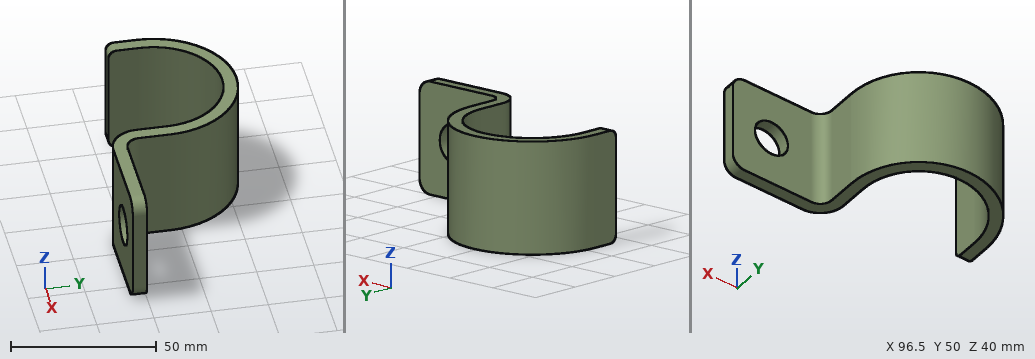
import cadquery as cq

length = 96.5
width = 40.0
thickness = 5.0
saddle_radius = 28.95
leg_length = 11.0
bend_inner_radius = 5.0
flange_corner_radius = 5.0
lip_corner_radius = 3.0
hole_diameter = 14.0
hole_edge_distance = 16.5

bore_radius = saddle_radius - thickness
bend_outer_radius = bend_inner_radius + thickness
bend_center_x = saddle_radius + bend_inner_radius
flange_end_x = length - saddle_radius
flange_back_y = -leg_length - bend_inner_radius
flange_front_y = flange_back_y - thickness
hole_x = flange_end_x - hole_edge_distance


def bend_arc(profile, radius, end):
    """Draw a quarter arc about the bend centre, through its midpoint, to the given end."""
    diagonal = radius * 0.5**0.5
    middle = (bend_center_x - diagonal, -leg_length - diagonal)
    return profile.threePointArc(middle, end)


def bent_strip():
    """Half ring, two legs, outward bend and flange, extruded across the strip width."""
    profile = (
        cq.Workplane("XY")
        .workplane(offset=-width / 2)
        .moveTo(-saddle_radius, -leg_length)
        .lineTo(-saddle_radius, 0)
        .threePointArc((0, saddle_radius), (saddle_radius, 0))
        .lineTo(saddle_radius, -leg_length)
    )
    profile = bend_arc(profile, bend_inner_radius, (bend_center_x, flange_back_y))
    profile = (
        profile.lineTo(flange_end_x, flange_back_y)
        .lineTo(flange_end_x, flange_front_y)
        .lineTo(bend_center_x, flange_front_y)
    )
    profile = bend_arc(profile, bend_outer_radius, (bore_radius, -leg_length))
    profile = (
        profile.lineTo(bore_radius, 0)
        .threePointArc((0, bore_radius), (-bore_radius, 0))
        .lineTo(-bore_radius, -leg_length)
        .close()
    )
    return profile.extrude(width)


def mounting_hole():
    """Cylinder through the flange thickness."""
    return (
        cq.Workplane("XZ", origin=(hole_x, flange_back_y, 0))
        .circle(hole_diameter / 2)
        .extrude(thickness)
    )


strip = bent_strip()
strip = strip.faces(">X").edges("|Y").fillet(flange_corner_radius)
lip_end = cq.selectors.NearestToPointSelector((-saddle_radius + thickness / 2, -leg_length, 0))
strip = strip.faces(lip_end).edges("|X").fillet(lip_corner_radius)

result = strip.cut(mounting_hole())